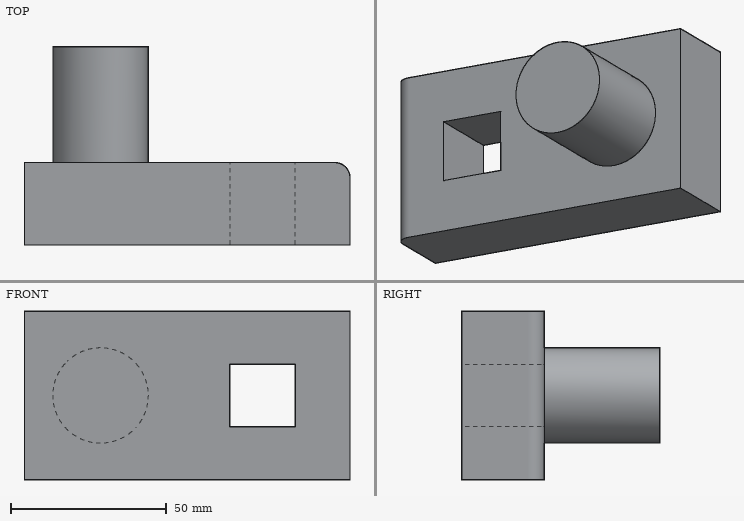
import cadquery as cq

block_length = 104.5
block_thickness = 26.5
block_height = 54.1
corner_radius = 5.0

window_width = 20.9
window_height = 20.0
window_center_x = 76.4

overall_depth = 63.6
peg_diameter = 30.6
peg_center_x = 24.4
peg_length = overall_depth - block_thickness


def make_block():
    """Plate with one rounded back corner and a rectangular window."""
    block = cq.Workplane("XY").box(
        block_length, block_thickness, block_height, centered=(False, False, True)
    )
    block = block.edges("|Z and >X and >Y").fillet(corner_radius)
    window = (
        cq.Workplane("XY")
        .box(window_width, block_thickness, window_height, centered=(True, False, True))
        .translate((window_center_x, 0, 0))
    )
    return block.cut(window)


def make_peg():
    """Cylinder running in +Y from the back face of the block."""
    return (
        cq.Workplane("XZ", origin=(peg_center_x, block_thickness, 0))
        .circle(peg_diameter / 2)
        .extrude(-peg_length)
    )


block = make_block()
peg = make_peg()

result = cq.Compound.makeCompound([block.val(), peg.val()])